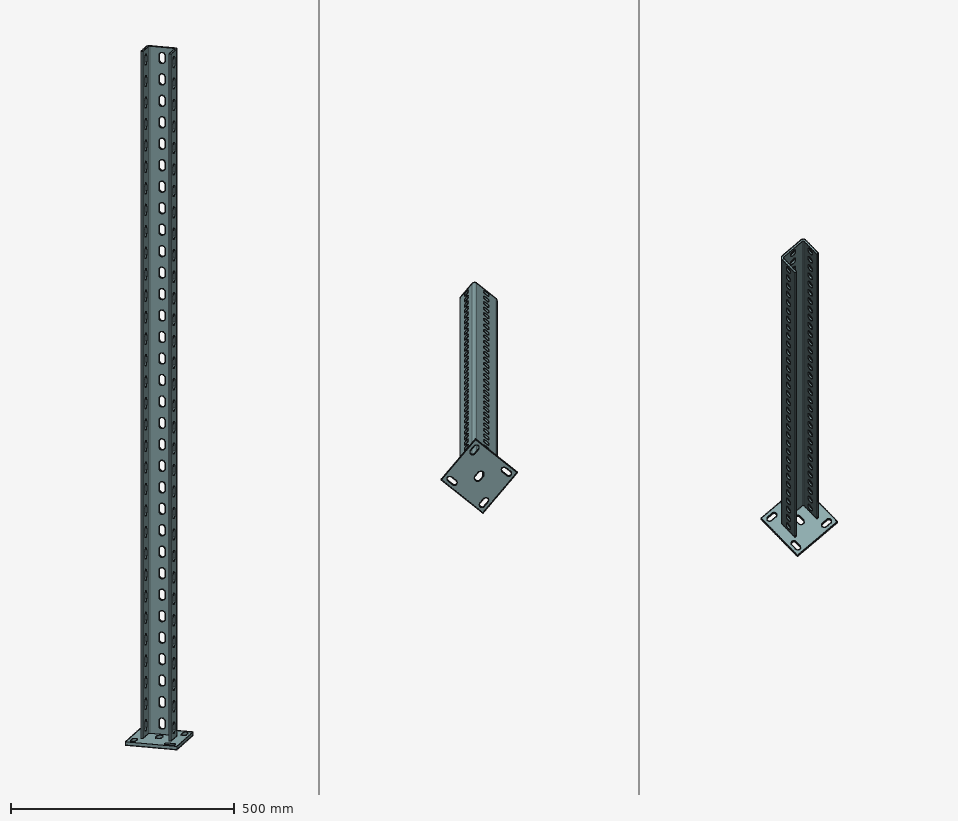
import cadquery as cq

total_height = 1608.0
plate_side = 120.0
plate_thickness = 8.0

column_width = 70.0
column_depth = 50.0
wall = 5.0
outer_radius = 7.2
inner_radius = outer_radius - wall
column_height = total_height - plate_thickness
web_outer_y = column_depth / 2

slot_rows = 32
slot_pitch = column_height / slot_rows
web_slot_length = 25.0
web_slot_width = 15.0
flange_slot_length = 25.0
flange_slot_width = 13.0
flange_slot_y = -2.4

corner_slot_length = 25.0
corner_slot_width = 12.0
corner_slot_near = 40.0
corner_slot_far = 47.0
center_slot_length = 25.0
center_slot_width = 15.0

ALONG_X = 0
ALONG_Y = 90
UPRIGHT = 90
QUARTER_TURN = 90


def base_plate():
    """Square plate standing on Z = 0."""
    return cq.Workplane("XY").box(plate_side, plate_side, plate_thickness, centered=(True, True, False))


def column():
    """U profile with rounded bends, standing on the plate."""
    outside = (
        cq.Workplane("XY", origin=(0, 0, plate_thickness))
        .box(column_width, column_depth, column_height, centered=(True, True, False))
        .edges("|Z and >Y")
        .fillet(outer_radius)
    )
    inside = (
        cq.Workplane("XY", origin=(0, -wall, plate_thickness))
        .box(column_width - 2 * wall, column_depth, column_height, centered=(True, True, False))
        .edges("|Z and >Y")
        .fillet(inner_radius)
    )
    return outside.cut(inside)


def slot_centers(across):
    """Centers of one row of slots, at a fixed place across the wall."""
    return [(across, plate_thickness + (row + 0.5) * slot_pitch) for row in range(slot_rows)]


def web_slots():
    """Upright slots through the web only."""
    return (
        cq.Workplane("XZ", origin=(0, web_outer_y, 0))
        .pushPoints(slot_centers(0))
        .slot2D(web_slot_length, web_slot_width, UPRIGHT)
        .extrude(wall)
    )


def flange_slots():
    """Upright slots running through both flanges."""
    return (
        cq.Workplane("YZ")
        .pushPoints(slot_centers(flange_slot_y))
        .slot2D(flange_slot_length, flange_slot_width, UPRIGHT)
        .extrude(column_width / 2, both=True)
    )


def plate_slot(x, y, length, width, direction):
    """One slot through the plate."""
    return cq.Workplane("XY").center(x, y).slot2D(length, width, direction).extrude(plate_thickness)


def corner_slots():
    """Four slots, each turned a quarter turn from the previous one."""
    first = plate_slot(-corner_slot_near, corner_slot_far, corner_slot_length, corner_slot_width, ALONG_X)
    slots = first
    for turns in range(1, 4):
        slots = slots.union(first.rotate((0, 0, 0), (0, 0, 1), turns * QUARTER_TURN))
    return slots


post = column().cut(web_slots()).cut(flange_slots())
plate = base_plate().cut(plate_slot(0, 0, center_slot_length, center_slot_width, ALONG_Y))
result = plate.union(post).cut(corner_slots())